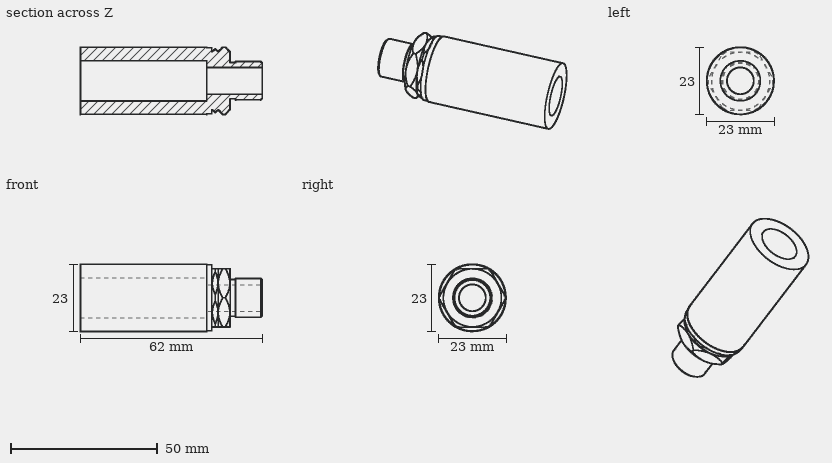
import cadquery as cq

total_length = 62.0
sleeve_end = 43.0
shoulder_end = 44.8
lock_nut_crest = 45.95
nut_joint = 46.95
main_crest_start = 48.5
main_crest_end = 49.4
main_nut_end = 51.0
neck_end = 52.8

sleeve_diameter = 23.0
shoulder_diameter = 22.55
lock_nut_crest_diameter = 21.9
neck_diameter = 12.6
spigot_diameter = 13.25
tip_chamfer = 0.55
heel_chamfer = 0.1

across_flats = 19.95
across_corners_radius = across_flats / 3**0.5
main_nut_crest_diameter = sleeve_diameter

wide_bore_diameter = 13.65
narrow_bore_diameter = 9.05


def cylinder(start, end, diameter):
    """Solid cylinder around the X axis between two stations."""
    return cq.Workplane("YZ", origin=(start, 0, 0)).circle(diameter / 2).extrude(end - start)


def hex_nut(start, end, crest_start, crest_end, crest_diameter):
    """Hexagon whose corners are turned to a crest with a 45 degree cone on each side."""
    length = end - start
    hexagon = cq.Workplane("YZ", origin=(start, 0, 0)).polygon(6, 2 * across_corners_radius).extrude(length)
    crest_radius = crest_diameter / 2
    outline = cq.Workplane("XY").moveTo(start, 0)
    outline = outline.lineTo(start, crest_radius - (crest_start - start))
    outline = outline.lineTo(crest_start, crest_radius)
    if crest_end > crest_start:
        outline = outline.lineTo(crest_end, crest_radius)
    outline = outline.lineTo(end, crest_radius - (end - crest_end)).lineTo(end, 0).close()
    turned_blank = outline.revolve(360, (0, 0, 0), (1, 0, 0))
    return hexagon.intersect(turned_blank)


sleeve = cylinder(0, sleeve_end, sleeve_diameter)
shoulder = cylinder(sleeve_end, shoulder_end, shoulder_diameter)

lock_nut = hex_nut(shoulder_end, nut_joint, lock_nut_crest, lock_nut_crest, lock_nut_crest_diameter)
main_nut = hex_nut(nut_joint, main_nut_end, main_crest_start, main_crest_end, main_nut_crest_diameter)

neck = cylinder(main_nut_end, neck_end, neck_diameter)
spigot = cylinder(neck_end, total_length, spigot_diameter)
spigot = spigot.faces(">X").chamfer(tip_chamfer).faces("<X").chamfer(heel_chamfer)

outer_body = sleeve
for section in (shoulder, lock_nut, main_nut, neck, spigot):
    outer_body = outer_body.union(section)

wide_bore = cylinder(0, sleeve_end, wide_bore_diameter)
narrow_bore = cylinder(0, total_length, narrow_bore_diameter)
result = outer_body.cut(wide_bore).cut(narrow_bore)